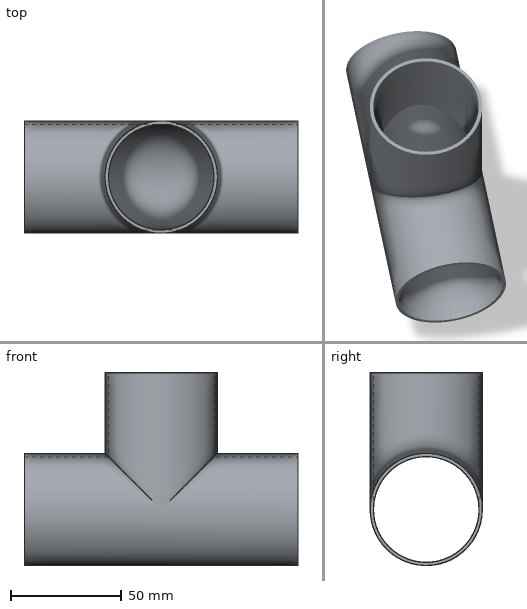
import cadquery as cq

run_length = 124.0
outer_diameter = 50.8
inner_diameter = 47.7
branch_height = run_length / 2


def tee_body(diameter):
    """Solid union of the run and branch cylinders at one diameter."""
    radius = diameter / 2
    run = cq.Workplane("YZ").circle(radius).extrude(run_length / 2, both=True)
    branch = cq.Workplane("XY").circle(radius).extrude(branch_height)
    return run.union(branch)


result = tee_body(outer_diameter).cut(tee_body(inner_diameter))